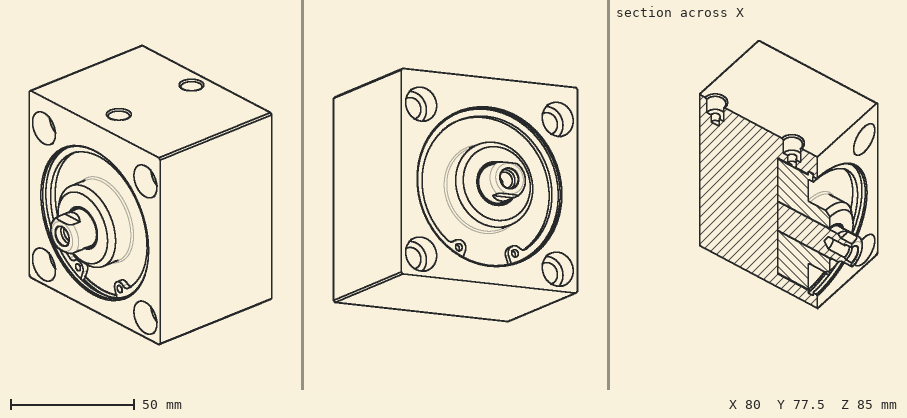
import cadquery as cq
import math


block_width = 80.0
block_depth = 60.0
block_height = 85.0
axis_drop = 2.5
corner_chamfer = 0.8

mount_spacing = 62.0
mount_hole_diameter = 9.0
mount_bore_diameter = 14.0
mount_bore_depth = 9.0

port_diameter = 8.6
port_mouth_diameter = 10.0
port_depth = 8.0
passage_diameter = 4.0
passage_depth = 12.0
front_port_setback = 13.0
rear_port_setback = 8.0

bore_diameter = 64.8
bore_mouth_diameter = 65.8
ring_recess = 2.2
ring_thickness = 2.5
groove_diameter = 68.0

gland_clearance = 0.2
gland_diameter = bore_diameter - 2 * gland_clearance
gland_length = 20.0
gland_face = ring_recess + ring_thickness
nose_diameter = 35.0
nose_projection = 6.5
nose_chamfer = 2.3
nose_root_fillet = 0.8
wiper_mouth_diameter = 18.0
wiper_diameter = 17.7
wiper_lip_diameter = 16.6
wiper_recess = 0.2

ring_inner_radius = 29.5
lug_radius = 3.15
lug_distance = 28.8
lug_angle = 26.2
lug_hole_diameter = 3.0
lug_fillet = 2.55

rod_diameter = 16.0
rod_projection = 17.5
rod_end_round = 1.7
flat_width = 13.0
flat_length = 5.5
thread_diameter = 6.6
relief_diameter = 8.25
relief_depth = 3.0
thread_mouth_diameter = 8.6
thread_depth = 12.0
drill_tip_angle = 118.0


def cylinder(diameter, start, end):
    return cq.Workplane("XZ", origin=(0, start, 0)).circle(diameter / 2).extrude(start - end)


def turned(profile):
    """Revolve (radius, y) points about the cylinder axis."""
    return cq.Workplane("XY").polyline(profile).close().revolve(360, (0, 0, 0), (0, 1, 0))


def make_port(setback):
    """Stepped, chamfered port and its oil passage, ready to cut."""
    top = block_height / 2 + axis_drop
    mouth = (port_mouth_diameter - port_diameter) / 2
    floor = top - port_depth
    profile = [
        (0, top - passage_depth),
        (passage_diameter / 2, top - passage_depth),
        (passage_diameter / 2, floor),
        (port_diameter / 2, floor),
        (port_diameter / 2, top - mouth),
        (port_mouth_diameter / 2, top),
        (0, top),
    ]
    port = cq.Workplane("XZ").polyline(profile).close().revolve(360, (0, 0, 0), (0, 1, 0))
    return port.translate((0, setback, 0))


def make_front_bore():
    mouth = (bore_mouth_diameter - bore_diameter) / 2
    return turned([
        (0, 0),
        (bore_mouth_diameter / 2, 0),
        (bore_diameter / 2, mouth),
        (bore_diameter / 2, ring_recess),
        (groove_diameter / 2, ring_recess),
        (groove_diameter / 2, gland_face),
        (bore_diameter / 2, gland_face),
        (bore_diameter / 2, gland_length),
        (0, gland_length),
    ])


def make_mount_hole(x, z):
    hole = cylinder(mount_hole_diameter, 0, block_depth)
    hole = hole.union(cylinder(mount_bore_diameter, 0, mount_bore_depth))
    return hole.translate((x, 0, z))


def make_housing():
    block = cq.Workplane("XY").box(block_width, block_depth, block_height)
    block = block.translate((0, block_depth / 2, axis_drop)).edges("|Y").chamfer(corner_chamfer)
    for x in (-mount_spacing / 2, mount_spacing / 2):
        for z in (-mount_spacing / 2, mount_spacing / 2):
            block = block.cut(make_mount_hole(x, z))
    for setback in (front_port_setback, block_depth - rear_port_setback):
        block = block.cut(make_port(setback))
    return block.cut(make_front_bore())


def make_gland():
    wiper_face = wiper_recess - nose_projection
    wiper_lip = (wiper_lip_diameter - rod_diameter) / 2
    gland = turned([
        (rod_diameter / 2, gland_length),
        (gland_diameter / 2, gland_length),
        (gland_diameter / 2, gland_face),
        (nose_diameter / 2, gland_face),
        (nose_diameter / 2, nose_chamfer - nose_projection),
        (nose_diameter / 2 - nose_chamfer, -nose_projection),
        (wiper_mouth_diameter / 2, -nose_projection),
        (wiper_diameter / 2, wiper_face),
        (wiper_lip_diameter / 2, wiper_face),
        (rod_diameter / 2, wiper_face + wiper_lip),
    ])
    reach = nose_diameter / 2 + nose_root_fillet
    nose_root = cq.selectors.BoxSelector(
        (-reach, gland_face - nose_root_fillet, -reach),
        (reach, gland_face + nose_root_fillet, reach),
        boundingbox=True,
    )
    return gland.edges(nose_root).fillet(nose_root_fillet)


def polar(radius, angle):
    """Point at an angle from straight down, positive toward +X."""
    turn = math.radians(angle)
    return radius * math.sin(turn), -radius * math.cos(turn)


def make_ring():
    outer = groove_diameter / 2
    end_angle = lug_angle - math.degrees(math.asin(lug_radius / lug_distance))
    end_distance = math.sqrt(lug_distance**2 - lug_radius**2)
    fillet_distance = ring_inner_radius - lug_fillet
    reach = lug_radius + lug_fillet
    cosine = (lug_distance**2 + fillet_distance**2 - reach**2) / (2 * lug_distance * fillet_distance)
    fillet_angle = lug_angle + math.degrees(math.acos(cosine))
    lug = cq.Vector(*polar(lug_distance, lug_angle))
    fillet = cq.Vector(*polar(fillet_distance, fillet_angle))
    join = lug + (fillet - lug) * (lug_radius / reach)
    inner_end = cq.Vector(*polar(ring_inner_radius, fillet_angle))
    fillet_middle = fillet + ((join - fillet) + (inner_end - fillet)).normalized() * lug_fillet
    lug_start = cq.Vector(*polar(end_distance, end_angle))
    lug_middle = lug + ((join - lug) + (lug_start - lug)).normalized() * lug_radius

    def mirror(point):
        return -point.x, point.y

    ring = (
        cq.Workplane("XZ", origin=(0, gland_face, 0))
        .moveTo(*polar(outer, end_angle))
        .lineTo(lug_start.x, lug_start.y)
        .threePointArc((lug_middle.x, lug_middle.y), (join.x, join.y))
        .threePointArc((fillet_middle.x, fillet_middle.y), (inner_end.x, inner_end.y))
        .threePointArc((0, ring_inner_radius), mirror(inner_end))
        .threePointArc(mirror(fillet_middle), mirror(join))
        .threePointArc(mirror(lug_middle), mirror(lug_start))
        .lineTo(*polar(outer, -end_angle))
        .threePointArc((0, outer), polar(outer, end_angle))
        .close()
        .extrude(ring_thickness)
    )
    for x in (-lug.x, lug.x):
        ring = ring.cut(cylinder(lug_hole_diameter, ring_recess, gland_face).translate((x, 0, lug.y)))
    return ring


def make_flat(side):
    """Cutter for one flat, running out at 45 degrees; side is 1 above the axis, -1 below."""
    inner = flat_width / 2
    outer = rod_diameter
    flat_end = flat_length - rod_projection
    return (
        cq.Workplane("YZ")
        .polyline([
            (-rod_projection, side * inner),
            (flat_end, side * inner),
            (flat_end + outer - inner, side * outer),
            (-rod_projection, side * outer),
        ])
        .close()
        .extrude(rod_diameter / 2, both=True)
    )


def make_thread_hole():
    mouth = (thread_mouth_diameter - relief_diameter) / 2
    relief_taper = (relief_diameter - thread_diameter) / 2
    tip = thread_diameter / 2 / math.tan(math.radians(drill_tip_angle / 2))
    hole = turned([
        (0, 0),
        (thread_mouth_diameter / 2, 0),
        (relief_diameter / 2, mouth),
        (relief_diameter / 2, relief_depth),
        (thread_diameter / 2, relief_depth + relief_taper),
        (thread_diameter / 2, thread_depth),
        (0, thread_depth + tip),
    ])
    return hole.translate((0, -rod_projection, 0))


def make_rod():
    rod = cylinder(rod_diameter, -rod_projection, gland_length)
    rod = rod.faces("<Y").edges().fillet(rod_end_round)
    for side in (-1, 1):
        rod = rod.cut(make_flat(side))
    return rod.cut(make_thread_hole())


housing = make_housing()
gland = make_gland().union(make_ring())
rod = make_rod()
result = cq.Compound.makeCompound([housing.val(), gland.val(), rod.val()])